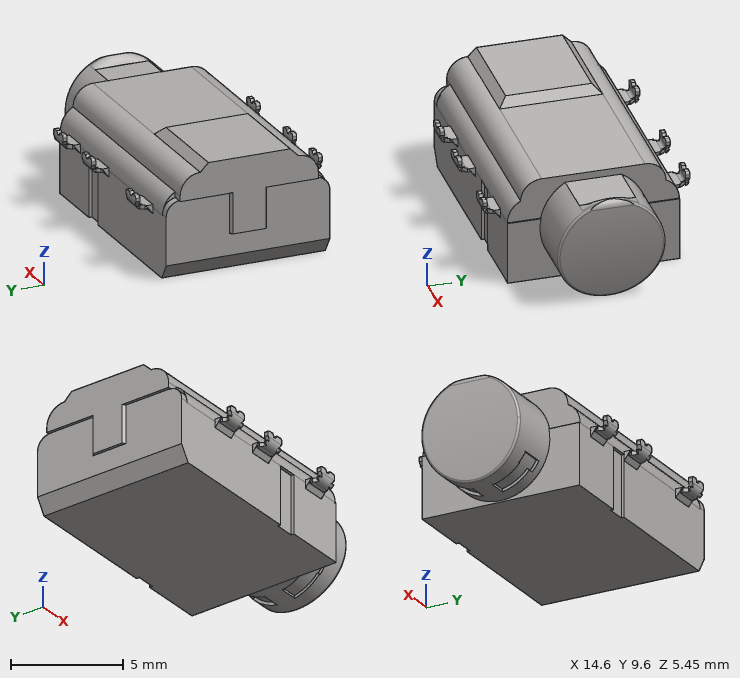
import cadquery as cq
import math


base_start = 0.14
base_end = 11.70
base_half_width = 4.00
base_nose_top = 3.80
nose_corner_radius = 0.70
base_chamfer_length = 0.49
base_chamfer_height = 0.76

shoulder_start = 0.54
shell_end = 11.63
shoulder_bottom = 3.05
shoulder_radius = 1.15

shell_half_width = 3.38
shell_top = 5.05
shell_radius = 0.98
shell_flat_half_width = shell_half_width - shell_radius

pad_length = 5.00
pad_height = 0.40

tongue_half_width = 0.81
tongue_bottom = 1.82
tongue_flare = 0.10

groove_start = 7.55
groove_end = 8.53
groove_depth = 0.15

plug_radius = 2.50
plug_axis_height = 2.57
plug_flat_height = 4.70
plug_flat_half_width = math.sqrt(plug_radius**2 - (plug_flat_height - plug_axis_height)**2)
plug_tip = 14.58
crown_radius = 20.0
crown_height = 4.10
end_round = 0.10

lip_start = 13.84
lip_crest = 14.24
lip_height = plug_axis_height + plug_radius - plug_flat_height
lip_first_rise = 0.02
lip_middle_rise = 0.27
lip_crest_rise = 0.36

recess_start = 12.16
recess_end = 13.38
recess_top = 1.37
recess_step_start = 12.42
recess_step_height = 0.90
recess_lower_end = 13.33
recess_bottom = 0.12
recess_depth = 0.15

near_terminal_places = (3.25, 6.04, 9.99)
far_terminal_places = (2.19, 6.97, 10.07)
wedge_width = 1.20
wedge_reach = 0.34
wedge_height = 0.44
terminal_top_of_foot = 3.18
terminal_thickness = 0.20
terminal_reach = 4.80
terminal_tip = 3.68
bend_radius = 0.38
blade_half_width = 0.52
neck_half_width = 0.37
neck_rise = 0.22
blade_corner = 0.12
notch_top_half_width = 0.16
notch_floor_half_width = 0.05
notch_depth = 0.15


def box_between(x_range, y_range, z_range):
    size = [high - low for low, high in (x_range, y_range, z_range)]
    return cq.Workplane("XY").box(*size, centered=False).translate((x_range[0], y_range[0], z_range[0]))


def round_topped_bar(start, end, half_width, bottom, top, radius):
    """Bar along X whose two upper edges are rounded."""
    bar = box_between((start, end), (-half_width, half_width), (bottom, top))
    return bar.edges("|X and >Z").fillet(radius)


def base_block():
    nose = round_topped_bar(
        base_start, shoulder_start, base_half_width, 0, base_nose_top, nose_corner_radius
    )
    block = box_between(
        (shoulder_start, base_end), (-base_half_width, base_half_width), (0, shoulder_bottom)
    )
    bevel = (
        cq.Workplane("XZ")
        .polyline([
            (base_start, 0),
            (base_start + base_chamfer_length, 0),
            (base_start, base_chamfer_height),
        ])
        .close()
        .extrude(base_half_width, both=True)
    )
    shoulders = round_topped_bar(
        shoulder_start, shell_end, base_half_width, 0, shoulder_bottom + shoulder_radius, shoulder_radius
    )
    base = nose.union(block).union(shoulders).cut(bevel)
    for side in (-1, 1):
        outer = side * base_half_width
        inner = side * (base_half_width - groove_depth)
        groove = box_between(
            (groove_start, groove_end), sorted((outer, inner)), (0, shoulder_bottom)
        )
        base = base.cut(groove)
    return base


def shell():
    return round_topped_bar(0, shell_end, shell_half_width, base_nose_top, shell_top, shell_radius)


def raised_pad():
    cross_section = (
        cq.Workplane("YZ")
        .polyline([
            (-shell_flat_half_width, shell_top),
            (shell_flat_half_width, shell_top),
            (shell_flat_half_width - pad_height, shell_top + pad_height),
            (pad_height - shell_flat_half_width, shell_top + pad_height),
        ])
        .close()
        .extrude(pad_length)
    )
    side_profile = (
        cq.Workplane("XZ")
        .polyline([
            (0, shell_top),
            (pad_length, shell_top),
            (pad_length - pad_height, shell_top + pad_height),
            (0, shell_top + pad_height),
        ])
        .close()
        .extrude(shell_half_width, both=True)
    )
    return cross_section.intersect(side_profile)


def tongue():
    flared_half_width = tongue_half_width + tongue_flare
    return (
        cq.Workplane("XY", origin=(0, 0, tongue_bottom))
        .polyline([
            (0, -tongue_half_width),
            (base_start, -flared_half_width),
            (base_start, flared_half_width),
            (0, tongue_half_width),
        ])
        .close()
        .extrude(base_nose_top - tongue_bottom)
    )


def plug_cylinder(radius):
    return (
        cq.Workplane("YZ", origin=(shell_end, 0, plug_axis_height))
        .circle(radius)
        .extrude(plug_tip - shell_end)
    )


def crown_x(height):
    """X of the crowned plug end at the given height."""
    drop = height - crown_height
    return plug_tip - crown_radius + math.sqrt(crown_radius**2 - drop**2)


def lip_section(workplane, rise):
    """Circular segment of the given rise standing on the plug flat."""
    return (
        workplane
        .moveTo(-plug_flat_half_width, 0)
        .threePointArc((0, rise), (plug_flat_half_width, 0))
        .close()
    )


def lip_ramp():
    """Ramp growing from the plug flat to nearly the full circle at the crest, then to the plug end."""
    sections = lip_section(cq.Workplane("YZ", origin=(lip_start, 0, plug_flat_height)), lip_first_rise)
    half_ramp = (lip_crest - lip_start) / 2
    sections = lip_section(sections.workplane(offset=half_ramp), lip_middle_rise)
    sections = lip_section(sections.workplane(offset=half_ramp), lip_crest_rise)
    sections = lip_section(sections.workplane(offset=plug_tip - lip_crest), lip_height)
    return sections.loft()


def crowned_cylinder():
    bottom = plug_axis_height - plug_radius
    top = plug_axis_height + plug_radius
    crown_envelope = (
        cq.Workplane("XZ")
        .moveTo(shell_end, bottom)
        .lineTo(crown_x(bottom), bottom)
        .threePointArc((plug_tip, crown_height), (crown_x(top), top))
        .lineTo(shell_end, top)
        .close()
        .extrude(2 * plug_radius, both=True)
    )
    end_edges = cq.selectors.BoxSelector(
        (lip_start, -plug_radius, bottom), (plug_tip, plug_radius, top)
    )
    return plug_cylinder(plug_radius).intersect(crown_envelope).edges(end_edges).fillet(end_round)


def plug():
    lip_top = plug_flat_height + lip_height
    lip_front = crown_x(plug_flat_height)
    above_flat = box_between(
        (shell_end, plug_tip), (-plug_radius, plug_radius), (plug_flat_height, lip_top)
    )
    lip_round_middle = (
        lip_crest + (lip_front - lip_crest) * math.sin(math.pi / 4),
        plug_flat_height + lip_height * math.cos(math.pi / 4),
    )
    outside_lip_round = (
        cq.Workplane("XZ")
        .moveTo(lip_crest, lip_top)
        .threePointArc(lip_round_middle, (lip_front, plug_flat_height))
        .lineTo(plug_tip, plug_flat_height)
        .lineTo(plug_tip, lip_top)
        .close()
        .extrude(plug_radius, both=True)
    )
    return crowned_cylinder().cut(above_flat.cut(lip_ramp())).cut(outside_lip_round)


def flank_angle(height):
    """Angle below horizontal of the plug surface at the given height."""
    return math.asin((plug_axis_height - height) / plug_radius)


def recess_sector(start, end, top, bottom):
    """Part of the plug's skin on the -Y flank, bounded above and below by radial walls."""
    reach = 2 * plug_radius
    corners = [
        (-reach * math.cos(angle), -reach * math.sin(angle))
        for angle in (flank_angle(top), flank_angle(bottom))
    ]
    wedge = (
        cq.Workplane("YZ", origin=(start, 0, plug_axis_height))
        .polyline([(0, 0), *corners])
        .close()
        .extrude(end - start)
    )
    return wedge.cut(plug_cylinder(plug_radius - recess_depth))


def latch_recess():
    head = recess_sector(recess_start, recess_end, recess_top, recess_step_height)
    stem = recess_sector(recess_step_start, recess_lower_end, recess_step_height, recess_bottom)
    return head.union(stem)


def terminal(x, side):
    """Wedge-backed contact bent upwards; side is -1 or 1 along Y."""
    foot_bottom = terminal_top_of_foot - terminal_thickness
    wedge = (
        cq.Workplane("YZ")
        .polyline([
            (base_half_width, terminal_top_of_foot),
            (base_half_width + wedge_reach, terminal_top_of_foot),
            (base_half_width, terminal_top_of_foot - wedge_height),
        ])
        .close()
        .extrude(wedge_width / 2, both=True)
    )
    blade_inner = terminal_reach - terminal_thickness
    strip = (
        cq.Workplane("YZ")
        .polyline([
            (base_half_width, foot_bottom),
            (terminal_reach, foot_bottom),
            (terminal_reach, terminal_tip),
            (blade_inner, terminal_tip),
            (blade_inner, terminal_top_of_foot),
            (base_half_width, terminal_top_of_foot),
        ])
        .close()
        .extrude(blade_half_width, both=True)
    )
    strip = strip.edges("|X and >Y and <Z").fillet(bend_radius)
    inner_bend = cq.selectors.NearestToPointSelector((0, blade_inner, terminal_top_of_foot))
    strip = strip.edges(inner_bend).fillet(bend_radius - terminal_thickness)

    wedge_tip = base_half_width + wedge_reach
    waist_plan = (
        cq.Workplane("XY", origin=(0, 0, foot_bottom))
        .polyline([
            (blade_half_width, wedge_tip),
            (neck_half_width, blade_inner),
            (blade_half_width, blade_inner),
        ])
        .close()
        .extrude(terminal_top_of_foot - foot_bottom)
    )
    waist_front = (
        cq.Workplane("XZ", origin=(0, terminal_reach, 0))
        .polyline([
            (blade_half_width, terminal_top_of_foot),
            (neck_half_width, terminal_top_of_foot),
            (blade_half_width, terminal_top_of_foot + neck_rise),
        ])
        .close()
        .extrude(terminal_reach - wedge_tip)
    )
    waist = waist_plan.union(waist_front)
    notch = (
        cq.Workplane("XZ", origin=(0, terminal_reach, 0))
        .polyline([
            (-notch_top_half_width, terminal_tip),
            (-notch_floor_half_width, terminal_tip - notch_depth),
            (notch_floor_half_width, terminal_tip - notch_depth),
            (notch_top_half_width, terminal_tip),
        ])
        .close()
        .extrude(terminal_thickness)
    )
    strip = strip.edges("|Y and >Z").fillet(blade_corner)
    strip = strip.cut(waist).cut(waist.mirror("YZ")).cut(notch)
    contact = wedge.union(strip)
    if side < 0:
        contact = contact.mirror("XZ")
    return contact.translate((x, 0, 0))


result = base_block().union(shell()).union(raised_pad()).union(tongue())
result = result.union(plug())
result = result.cut(latch_recess()).cut(latch_recess().mirror("XZ"))
for place in near_terminal_places:
    result = result.union(terminal(place, -1))
for place in far_terminal_places:
    result = result.union(terminal(place, 1))